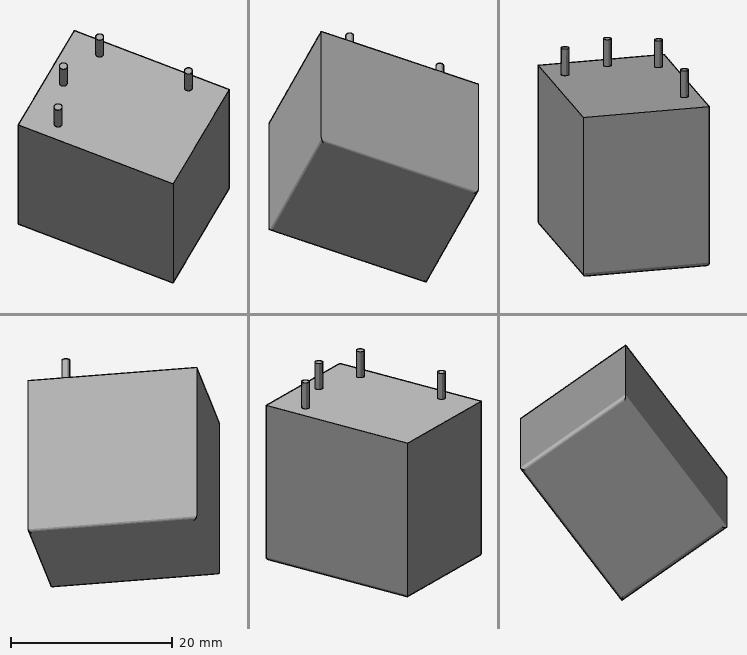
import cadquery as cq

body_length = 21.3
body_width = 16.2
total_height = 24.4

pin_diameter = 1.0
pin_height = 3.5
pin_row_spacing = 6.0
pin_row_center_y = 0.17
left_pins_x = -6.25
right_pin_x = 5.95
middle_pin_x = -8.37

bottom_radius = 0.5

body_height = total_height - pin_height

body = (
    cq.Workplane("XY")
    .box(body_length, body_width, body_height, centered=(True, True, False))
    .faces("<Z")
    .edges()
    .fillet(bottom_radius)
)

back_row_y = pin_row_center_y + pin_row_spacing
front_row_y = pin_row_center_y - pin_row_spacing
pin_centers = [
    (middle_pin_x, pin_row_center_y),
    (left_pins_x, back_row_y),
    (right_pin_x, back_row_y),
    (left_pins_x, front_row_y),
]
pins = (
    cq.Workplane("XY")
    .workplane(offset=body_height)
    .pushPoints(pin_centers)
    .circle(pin_diameter / 2)
    .extrude(pin_height)
)

result = body.union(pins)